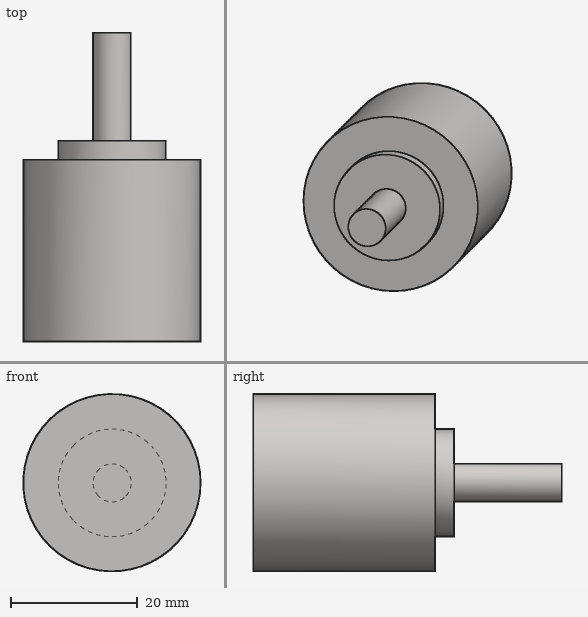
import cadquery as cq

body_diameter = 28.0
body_length = 28.7
pilot_diameter = 17.0
pilot_length = 3.0
shaft_diameter = 6.0
shaft_length = 17.0

body_back = -body_length
mounting_face = 0.0
pilot_face = mounting_face + pilot_length


def cylinder_along_y(diameter, start, length):
    """Solid cylinder on the Y axis, running from start toward +Y."""
    base = cq.Workplane("XZ", origin=(0, start, 0))
    return base.circle(diameter / 2).extrude(-length)


body = cylinder_along_y(body_diameter, body_back, body_length)
pilot = cylinder_along_y(pilot_diameter, mounting_face, pilot_length)
shaft = cylinder_along_y(shaft_diameter, pilot_face, shaft_length)

result = body.union(pilot).union(shaft)